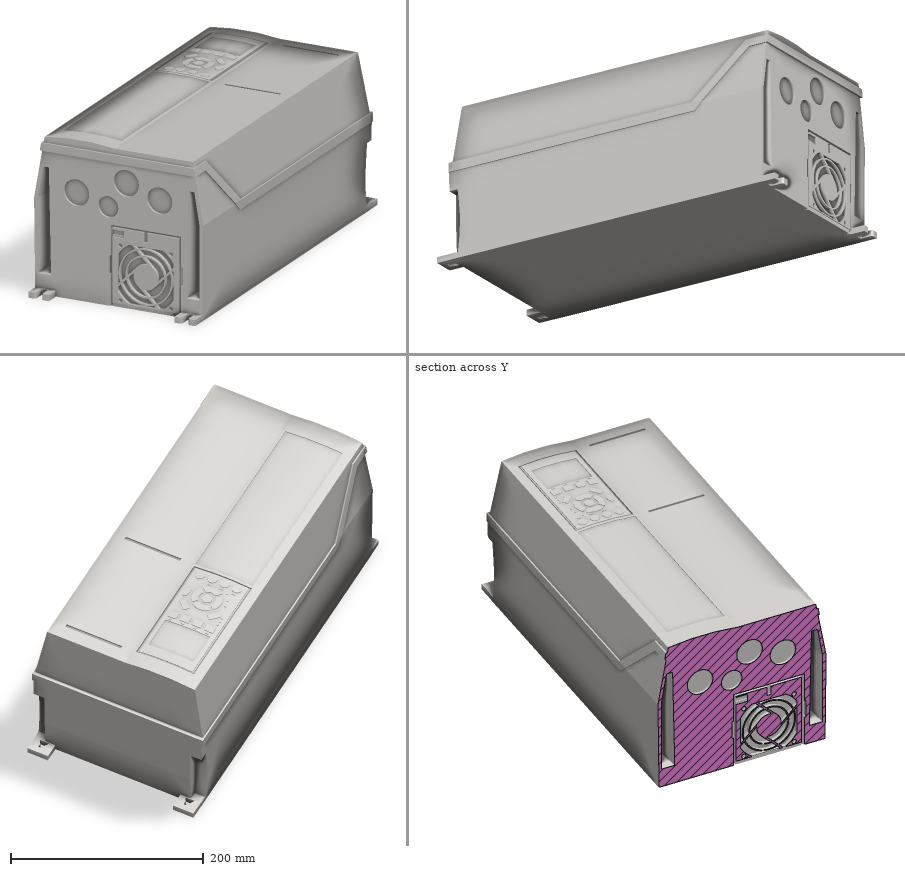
import cadquery as cq

LENGTH = 420.0
WIDTH = 200.0
FRONT_Y = -194.0
REAR_Y = 194.0
BASE_HALF_WIDTH = 97.5
SEAM_HALF_WIDTH = 98.3
SEAM_Z = 68.0
BODY_HALF_WIDTH = 98.5
SHOULDER_Z = 106.0
COVER_HALF_WIDTH = 86.5
COVER_Z = 174.5
OVERALL_HEIGHT = 178.5
MARGIN = 21.0

CROWN_LEFT_X = -COVER_HALF_WIDTH
CROWN_RIGHT_X = -4.5
CROWN_Z = 177.5
KEY_HEIGHT = OVERALL_HEIGHT - CROWN_Z

BELT_LOW_Z = 98.0
BELT_HIGH_Z = 108.5
LIP_LOW_Z = 159.5
LIP_HIGH_Z = 168.5
LIP_Y = -196.5
SIDE_SLOPE = (BODY_HALF_WIDTH - COVER_HALF_WIDTH) / (COVER_Z - SHOULDER_Z)


def box(x0, x1, y0, y1, z0, z1):
    """Box between two corners."""
    return cq.Workplane("XY").box(x1 - x0, y1 - y0, z1 - z0, centered=False).translate((x0, y0, z0))


def front_plane():
    """Sketch plane on the front end: local x is X, local y is Z, outward is -Y."""
    return cq.Workplane("XZ", origin=(0, FRONT_Y, 0))


def side_prism(points, half_width=WIDTH / 2):
    """Prism of a Y-Z outline, symmetric about the middle plane X = 0."""
    return cq.Workplane("YZ").polyline(points).close().extrude(half_width, both=True)


def both_sides(solid):
    """A solid together with its mirror image across X = 0."""
    return solid.union(solid.mirror("YZ"))


def crown_section(lift):
    """Cross-section of the housing with the crowned top raised by `lift`."""
    crown_mid_x = (CROWN_LEFT_X + CROWN_RIGHT_X) / 2
    return (
        cq.Workplane("XZ", origin=(0, REAR_Y, 0))
        .moveTo(-BASE_HALF_WIDTH, 0)
        .lineTo(-SEAM_HALF_WIDTH, SEAM_Z)
        .lineTo(-BODY_HALF_WIDTH, SHOULDER_Z)
        .lineTo(CROWN_LEFT_X, COVER_Z + lift)
        .threePointArc((crown_mid_x, CROWN_Z + lift), (CROWN_RIGHT_X, COVER_Z + lift))
        .lineTo(COVER_HALF_WIDTH, COVER_Z + lift)
        .lineTo(BODY_HALF_WIDTH, SHOULDER_Z)
        .lineTo(SEAM_HALF_WIDTH, SEAM_Z)
        .lineTo(BASE_HALF_WIDTH, 0)
        .close()
        .extrude(REAR_Y - FRONT_Y)
    )


def housing():
    """Housing with a sloping rear end that is stepped above the belt."""
    rear_bottom_y = 192.8
    rear_draft_z = 38.0
    cover_rear_low_y = 190.2
    cover_rear_high_y = 186.0
    side_outline = [
        (FRONT_Y, 0),
        (rear_bottom_y, 0),
        (REAR_Y, rear_draft_z),
        (REAR_Y, BELT_HIGH_Z),
        (cover_rear_low_y, BELT_HIGH_Z),
        (cover_rear_high_y, COVER_Z),
        (cover_rear_high_y, OVERALL_HEIGHT),
        (FRONT_Y, OVERALL_HEIGHT),
    ]
    return crown_section(0).intersect(side_prism(side_outline))


def belt():
    """Raised belt that runs along the sides, climbs at 45 degrees and ends in the front lip."""
    climb_start_low_y = -111.5
    climb_start_high_y = -108.5
    climb_end_low_y = climb_start_low_y - (LIP_LOW_Z - BELT_LOW_Z)
    climb_end_high_y = climb_start_high_y - (LIP_HIGH_Z - BELT_HIGH_Z)
    side_outline = [
        (REAR_Y, BELT_LOW_Z),
        (climb_start_low_y, BELT_LOW_Z),
        (climb_end_low_y, LIP_LOW_Z),
        (LIP_Y, LIP_LOW_Z),
        (LIP_Y, LIP_HIGH_Z),
        (climb_end_high_y, LIP_HIGH_Z),
        (climb_start_high_y, BELT_HIGH_Z),
        (REAR_Y, BELT_HIGH_Z),
    ]
    lip_half_width = WIDTH / 2 - SIDE_SLOPE * (LIP_HIGH_Z - BELT_HIGH_Z)
    cross_section = (
        cq.Workplane("XZ", origin=(0, REAR_Y, 0))
        .polyline([
            (-WIDTH / 2, BELT_LOW_Z),
            (-WIDTH / 2, BELT_HIGH_Z),
            (-lip_half_width, LIP_HIGH_Z),
            (lip_half_width, LIP_HIGH_Z),
            (WIDTH / 2, BELT_HIGH_Z),
            (WIDTH / 2, BELT_LOW_Z),
        ])
        .close()
        .extrude(REAR_Y - LIP_Y)
    )
    return cross_section.intersect(side_prism(side_outline))


def rear_corner_notches():
    """Curved notches in the two rear lower corners."""
    depth = 14.5
    low_z = 6.5
    high_z = 77.0
    edge_y = 184.0
    bulge_y = 181.0
    notch = (
        cq.Workplane("YZ", origin=(-WIDTH / 2, 0, 0))
        .moveTo(REAR_Y + MARGIN, low_z)
        .lineTo(edge_y, low_z)
        .threePointArc((bulge_y, (low_z + high_z) / 2), (edge_y, high_z))
        .lineTo(REAR_Y + MARGIN, high_z)
        .close()
        .extrude(depth)
    )
    return both_sides(notch)


FOOT_CENTER_X = 85.2
FOOT_WIDTH = 24.0
FOOT_THICKNESS = 6.7
FOOT_ROOT = 8.5


def front_feet():
    """Front feet split by an open slot with a chamfered mouth and a chamfered inner end."""
    slot_width = 7.0
    slot_half = slot_width / 2
    slot_end_y = -195.3
    chamfer = 1.5
    x0 = FOOT_CENTER_X - FOOT_WIDTH / 2
    foot = box(x0, x0 + FOOT_WIDTH, -LENGTH / 2, FRONT_Y + FOOT_ROOT, 0, FOOT_THICKNESS)
    slot = (
        cq.Workplane("XY", origin=(FOOT_CENTER_X, 0, 0))
        .polyline([
            (-slot_half - chamfer, -LENGTH / 2),
            (-slot_half, -LENGTH / 2 + chamfer),
            (-slot_half, slot_end_y - chamfer),
            (-slot_half + chamfer, slot_end_y),
            (slot_half - chamfer, slot_end_y),
            (slot_half, slot_end_y - chamfer),
            (slot_half, -LENGTH / 2 + chamfer),
            (slot_half + chamfer, -LENGTH / 2),
        ])
        .close()
        .extrude(FOOT_THICKNESS)
    )
    return both_sides(foot.cut(slot))


def rear_feet():
    """Rear feet with a keyhole that widens toward the housing."""
    neck_half = 3.0
    mouth_half = 5.5
    keyhole_top_y = 203.3
    neck_y = 198.2
    mouth_y = REAR_Y
    x0 = FOOT_CENTER_X - FOOT_WIDTH / 2
    foot = box(x0, x0 + FOOT_WIDTH, REAR_Y - FOOT_ROOT, LENGTH / 2, 0, FOOT_THICKNESS)
    keyhole = (
        cq.Workplane("XY")
        .polyline([
            (FOOT_CENTER_X - neck_half, keyhole_top_y),
            (FOOT_CENTER_X + neck_half, keyhole_top_y),
            (FOOT_CENTER_X + neck_half, neck_y),
            (FOOT_CENTER_X + mouth_half, mouth_y),
            (FOOT_CENTER_X - mouth_half, mouth_y),
            (FOOT_CENTER_X - neck_half, neck_y),
        ])
        .close()
        .extrude(FOOT_THICKNESS)
    )
    return both_sides(foot.cut(keyhole))


def knockouts():
    """Shallow round cable knockouts."""
    depth = 3.5
    large_radius = 14.5
    small_radius = 11.8
    large_centers = [(-49.0, 119.0), (9.0, 138.5), (48.0, 125.5)]
    small_center = (-12.0, 109.0)
    large = front_plane().pushPoints(large_centers).circle(large_radius).extrude(-depth)
    return large.union(front_plane().center(*small_center).circle(small_radius).extrude(-depth))


def front_pockets():
    """Tall pockets near the front edges, narrowing inward from mouth to floor."""
    depth = 21.0
    low_z = 22.5
    bend_z = 107.0
    high_z = 141.5
    floor_low_z = low_z + 1.3
    floor_high_z = high_z - 2.0
    mouth = [(-94.0, low_z), (-94.0, bend_z), (-88.0, high_z), (-81.5, high_z), (-79.0, low_z)]
    floor = [
        (-92.0, floor_low_z),
        (-92.0, bend_z),
        (-87.0, floor_high_z),
        (-84.0, floor_high_z),
        (-81.5, floor_low_z),
    ]
    pocket = (
        front_plane()
        .polyline(mouth)
        .close()
        .workplane(offset=-depth)
        .polyline(floor)
        .close()
        .loft(ruled=True)
    )
    return both_sides(pocket)


FAN_X = 31.5
FAN_Z = 38.2
FAN_OPENING_HALF = 32.8
GRILLE_DEPTH = 4.0
PLATE_LEFT_X = -7.0
PLATE_RIGHT_X = 70.0
PLATE_TOP_Z = 87.5
FRAME_GAP = 2.5


def fan_frame_gap():
    """Gap around the fan plate, shallower along its outer half, with a finger notch on each side."""
    depth = 4.0
    step_depth = 2.0
    sill_depth = 1.05
    left_x = PLATE_LEFT_X - FRAME_GAP
    right_x = PLATE_RIGHT_X + FRAME_GAP
    top_z = PLATE_TOP_Z + FRAME_GAP
    step_width = FRAME_GAP / 2
    plate_low_z = 4.0
    notch_low_z = 35.3
    notch_high_z = 56.0
    notch_width = 1.5
    y0 = FRONT_Y
    y1 = FRONT_Y + depth
    opening = box(left_x, right_x, y0, y1, 0, top_z)
    plate = box(PLATE_LEFT_X, PLATE_RIGHT_X, y0, y1, plate_low_z, PLATE_TOP_Z)
    sill = box(PLATE_LEFT_X, PLATE_RIGHT_X, y0 + sill_depth, y1, 0, plate_low_z)
    step = box(left_x, right_x, y0 + step_depth, y1, 0, top_z)
    step = step.cut(box(left_x + step_width, right_x - step_width, y0, y1, 0, top_z - step_width))
    notches = box(left_x - notch_width, right_x + notch_width, y0, y1, notch_low_z, notch_high_z)
    notches = notches.cut(box(left_x, right_x, y0, y1, notch_low_z, notch_high_z))
    return opening.cut(plate).cut(sill).cut(step).union(notches)


def fan_grille():
    """Recess behind the guard rings, hub and four spokes, which stay level with the plate."""
    opening_radius = 38.2
    hub_radius = 14.3
    ring_radii = [(22.0, 23.5), (30.0, 31.5)]
    spoke_width = 2.5
    spoke_offset = hub_radius - spoke_width / 2
    spoke_angles = (45, 135, 225, 315)

    def disc(radius):
        return front_plane().center(FAN_X, FAN_Z).circle(radius).extrude(-GRILLE_DEPTH)

    square = front_plane().center(FAN_X, FAN_Z).rect(2 * FAN_OPENING_HALF, 2 * FAN_OPENING_HALF)
    recess = square.extrude(-GRILLE_DEPTH).intersect(disc(opening_radius)).cut(disc(hub_radius))
    for inner, outer in ring_radii:
        recess = recess.cut(disc(outer).cut(disc(inner)))
    for angle in spoke_angles:
        spoke = (
            front_plane()
            .center(FAN_X, FAN_Z)
            .transformed(rotate=(0, 0, angle))
            .center(spoke_offset, opening_radius / 2)
            .rect(spoke_width, opening_radius)
            .extrude(-GRILLE_DEPTH)
        )
        recess = recess.cut(spoke)
    return recess


def fan_plate_holes():
    """Corner screw holes and latch slots in the fan plate."""
    screw_x = 29.5
    screw_z = 30.2
    screw_radius = 2.3
    depth = 2.5
    y0 = FRONT_Y
    y1 = FRONT_Y + depth
    holes = (
        front_plane()
        .center(FAN_X, FAN_Z)
        .rect(2 * screw_x, 2 * screw_z, forConstruction=True)
        .vertices()
        .circle(screw_radius)
        .extrude(-depth)
    )
    slot_low_z = 77.0
    latch_right_x = 6.5
    latch_low_z = 79.5
    latch_high_z = 85.2
    center_slot_half = 2.0
    latch_slot = box(PLATE_LEFT_X, latch_right_x, y0, y1, latch_low_z, latch_high_z)
    latch_step = box(PLATE_LEFT_X, latch_right_x, y0, y0 + depth / 2, slot_low_z, latch_low_z)
    center_slot = box(
        FAN_X - center_slot_half, FAN_X + center_slot_half, y0, y1, slot_low_z, PLATE_TOP_Z
    )
    return holes.union(latch_slot).union(latch_step).union(center_slot)


def crown_recess(x0, x1, y0, y1, depth):
    """Tool that lowers a rectangle of the crowned surface by an even depth."""
    floor_z = COVER_Z - MARGIN
    return box(x0, x1, y0, y1, floor_z, OVERALL_HEIGHT).cut(crown_section(-depth))


PANEL_LEFT_X = -76.5
PANEL_RIGHT_X = -8.5
GROOVE_DEPTH = 1.5
PANEL_DEPTH = 1.0


def cover_slots():
    """Two narrow cross slots in the flat half of the cover."""
    width = 3.5
    left_x = 8.0
    right_x = 73.0
    tools = cq.Workplane("XY")
    for center_y in (169.2, 35.0):
        y0 = center_y - width / 2
        tools = tools.union(box(left_x, right_x, y0, y0 + width, COVER_Z - GROOVE_DEPTH, OVERALL_HEIGHT))
    return tools


def keypad_recesses():
    """Stepped groove around the keypad, the display window and the blank panel below."""
    side_groove = 3.0
    end_groove = 1.5
    low_y = 36.5
    high_y = 168.0
    display_left_x = -68.5
    display_right_x = -16.0
    display_low_y = 116.0
    display_high_y = 153.5
    panel_gap = 3.0
    panel_low_y = -170.5
    panel_inset = 1.0

    def keypad_frame(width_share, depth):
        """Groove covering the outer `width_share` of the full groove width."""
        dx = side_groove * width_share
        dy = end_groove * width_share
        outer = crown_recess(PANEL_LEFT_X, PANEL_RIGHT_X, low_y, high_y, depth)
        return outer.cut(
            box(PANEL_LEFT_X + dx, PANEL_RIGHT_X - dx, low_y + dy, high_y - dy, 0, OVERALL_HEIGHT)
        )

    groove = keypad_frame(1, GROOVE_DEPTH / 2).union(keypad_frame(0.5, GROOVE_DEPTH))
    display = crown_recess(display_left_x, display_right_x, display_low_y, display_high_y, PANEL_DEPTH)
    blank_panel = crown_recess(
        PANEL_LEFT_X + panel_inset, PANEL_RIGHT_X, panel_low_y, low_y - panel_gap, PANEL_DEPTH
    )
    return groove.union(display).union(blank_panel)


KEY_PITCH = 14.3
FIRST_KEY_X = -63.5
KEY_COLUMNS = [FIRST_KEY_X + KEY_PITCH * i for i in range(4)]
DIAL_X = -42.0
DIAL_Y = 72.2


def keypad_keys():
    """Raised keys and lamps, all following the crowned surface."""
    root_depth = 4.0
    base_z = COVER_Z - root_depth
    height = OVERALL_HEIGHT - base_z
    plane = cq.Workplane("XY", origin=(0, 0, base_z))
    dial = plane.center(DIAL_X, DIAL_Y)

    soft_row_y = 106.5
    round_row_y = 45.8
    keys = plane.pushPoints([(x, soft_row_y) for x in KEY_COLUMNS]).rect(10.0, 8.5).extrude(height)
    keys = keys.union(plane.pushPoints([(x, round_row_y) for x in KEY_COLUMNS]).circle(5.0).extrude(height))

    ring_radius = 16.5
    ring_inner_radius = 9.2
    center_key_radius = 5.5
    segment_gap = 2.5
    ring = dial.circle(ring_radius).circle(ring_inner_radius).extrude(height)
    for angle in (45, 135):
        gap = dial.transformed(rotate=(0, 0, angle)).rect(3 * ring_radius, segment_gap).extrude(height)
        ring = ring.cut(gap)
    keys = keys.union(ring).union(dial.circle(center_key_radius).extrude(height))

    info_key_offset = 24.5
    slanted_offset = 17.2
    for side in (-1, 1):
        slanted = (
            dial.center(slanted_offset * side, slanted_offset)
            .transformed(rotate=(0, 0, -45 * side))
            .rect(13.0, 6.7)
            .extrude(height)
        )
        keys = keys.union(slanted)
    keys = keys.union(dial.center(info_key_offset, 0).ellipse(3.8, 6.5).extrude(height))

    soft_lamp_y = 114.0
    round_lamp_y = 53.8
    bar_lamps = [(x, soft_lamp_y) for x in KEY_COLUMNS]
    bar_lamps += [(x, round_lamp_y) for x in KEY_COLUMNS[:3]]
    keys = keys.union(plane.pushPoints(bar_lamps).rect(3.5, 1.3).extrude(height))
    square_lamps = [(-68.0, 98.3), (-68.0, 93.2), (-68.0, 88.0), (-63.5, 72.2), (-62.0, 64.5), (-57.5, 56.5)]
    keys = keys.union(plane.pushPoints(square_lamps).rect(1.5, 1.5).extrude(height))

    return keys.intersect(crown_section(KEY_HEIGHT))


result = housing().union(belt()).cut(rear_corner_notches())
result = result.union(front_feet()).union(rear_feet())
for tool in (knockouts(), front_pockets(), fan_frame_gap(), fan_grille(), fan_plate_holes()):
    result = result.cut(tool)
result = result.cut(cover_slots()).cut(keypad_recesses()).union(keypad_keys())